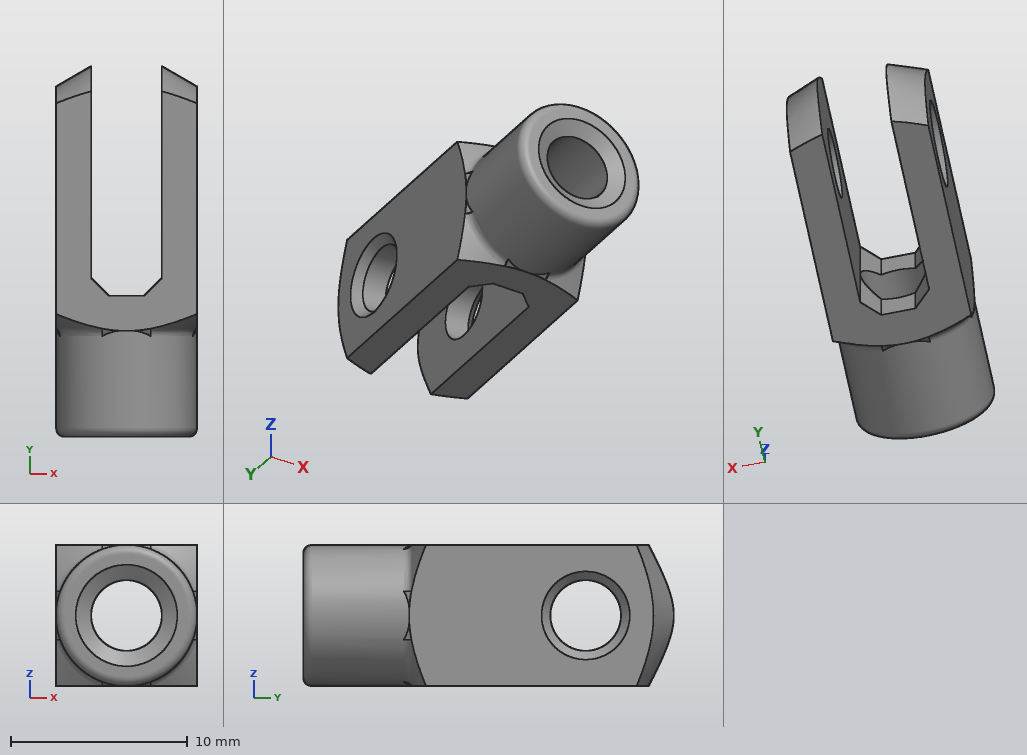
import cadquery as cq
import math

length = 21.0
width = 8.0
neck_diameter = width
neck_length = 6.0
neck_edge_radius = 0.5
shoulder_fillet = 0.5
fillet_end_offset = 1.36
fillet_overlap = 0.2
cone_angle = math.radians(30)

slot_width = 4.0
slot_floor = 8.0
slot_corner_chamfer = 1.0

bore_diameter = 4.0
bore_mouth_diameter = 5.75
bore_mouth_angle = math.radians(120)

pin_diameter = 4.0
pin_mouth_diameter = 5.0
pin_position = 16.0

half_width = width / 2
half_slot = slot_width / 2
neck_radius = neck_diameter / 2
slope = math.tan(cone_angle)
turning_radius = width


def revolve_about_y(profile):
    return profile.close().revolve(360, (0, 0, 0), (0, 1, 0))


def make_body():
    """Square bar trimmed by cones at both ends, with a round neck."""
    edge_offset = neck_edge_radius * math.sqrt(0.5)
    edge_middle = (
        neck_radius - neck_edge_radius + edge_offset,
        neck_edge_radius - edge_offset,
    )
    turned = revolve_about_y(
        cq.Workplane("XY")
        .lineTo(neck_radius - neck_edge_radius, 0)
        .threePointArc(edge_middle, (neck_radius, neck_edge_radius))
        .lineTo(neck_radius, neck_length)
        .lineTo(turning_radius, neck_length + (turning_radius - neck_radius) * slope)
        .lineTo(turning_radius, length - (turning_radius - half_slot) * slope)
        .lineTo(half_slot, length)
        .lineTo(0, length)
    )
    bar = cq.Workplane("XY").box(width, length, width, centered=(True, False, True))
    return turned.intersect(bar)


def make_corner_fillet():
    """Fillet between neck and shoulder cone, cut to the corner where X and Z are positive."""
    turn_angle = math.pi / 2 - cone_angle
    tangent = shoulder_fillet * math.tan(turn_angle / 2)
    fillet_start = neck_length - tangent
    fillet_end = (
        neck_radius + tangent * math.cos(cone_angle),
        neck_length + tangent * math.sin(cone_angle),
    )
    fillet_middle = (
        neck_radius + shoulder_fillet * (1 - math.cos(turn_angle / 2)),
        fillet_start + shoulder_fillet * math.sin(turn_angle / 2),
    )
    inner_radius = neck_radius - fillet_overlap
    ring = revolve_about_y(
        cq.Workplane("XY")
        .moveTo(inner_radius, fillet_start)
        .lineTo(neck_radius, fillet_start)
        .threePointArc(fillet_middle, fillet_end)
        .lineTo(fillet_end[0], fillet_end[1] + fillet_overlap)
        .lineTo(inner_radius, fillet_end[1] + fillet_overlap)
    )
    corner_size = half_width - fillet_end_offset
    corner = (
        cq.Workplane("XY")
        .box(corner_size, length, corner_size, centered=False)
        .translate((fillet_end_offset, 0, fillet_end_offset))
    )
    fillet = ring.intersect(corner)

    neck_height = math.sqrt(neck_radius**2 - fillet_end_offset**2)
    cone_radius = math.hypot(half_width, fillet_end_offset)
    point = cq.Vector(0, neck_length, half_width)
    flat_corner = cq.Vector(
        fillet_end_offset, neck_length + (cone_radius - neck_radius) * slope, half_width
    )
    neck_corner = cq.Vector(fillet_end_offset, fillet_start, neck_height)
    inner_corner = cq.Vector(fillet_end_offset, flat_corner.y, neck_height - fillet_overlap)
    taper = make_tetrahedron(point, flat_corner, neck_corner, inner_corner)
    other_taper = taper.rotate((0, 0, 0), (0, 1, 0), 90).mirror("XY")
    return fillet.union(taper).union(other_taper)


def make_tetrahedron(a, b, c, d):
    triangles = [(a, b, c), (a, b, d), (a, c, d), (b, c, d)]
    faces = [cq.Face.makeFromWires(cq.Wire.makePolygon(t, close=True)) for t in triangles]
    solid = cq.Solid.makeSolid(cq.Shell.makeShell(faces))
    return cq.Workplane("XY").add(solid.fix())


def make_slot():
    """Fork slot with chamfered floor corners, open at the far end."""
    half_floor = half_slot - slot_corner_chamfer
    wall_start = slot_floor + slot_corner_chamfer
    return (
        cq.Workplane("XY")
        .polyline([
            (-half_floor, slot_floor),
            (half_floor, slot_floor),
            (half_slot, wall_start),
            (half_slot, length),
            (-half_slot, length),
            (-half_slot, wall_start),
        ])
        .close()
        .extrude(half_width, both=True)
    )


def make_bore():
    """Axial bore from the neck face into the slot, with a wide conical mouth."""
    bore_radius = bore_diameter / 2
    mouth_radius = bore_mouth_diameter / 2
    mouth_depth = (mouth_radius - bore_radius) / math.tan(bore_mouth_angle / 2)
    bore_end = slot_floor + slot_corner_chamfer
    return revolve_about_y(
        cq.Workplane("XY")
        .lineTo(mouth_radius, 0)
        .lineTo(bore_radius, mouth_depth)
        .lineTo(bore_radius, bore_end)
        .lineTo(0, bore_end)
    )


def make_pin_hole():
    """Cross hole through both fork arms, with 45 degree outer mouths."""
    pin_radius = pin_diameter / 2
    mouth_radius = pin_mouth_diameter / 2
    mouth_start = half_width - (mouth_radius - pin_radius)
    profile = (
        cq.Workplane("XY")
        .moveTo(-half_width, 0)
        .lineTo(-half_width, mouth_radius)
        .lineTo(-mouth_start, pin_radius)
        .lineTo(mouth_start, pin_radius)
        .lineTo(half_width, mouth_radius)
        .lineTo(half_width, 0)
        .close()
    )
    return profile.revolve(360, (0, 0, 0), (1, 0, 0)).translate((0, pin_position, 0))


body = make_body()
corner_fillet = make_corner_fillet()
for quarter in range(4):
    body = body.union(corner_fillet.rotate((0, 0, 0), (0, 1, 0), 90 * quarter))

result = body.cut(make_slot()).cut(make_bore()).cut(make_pin_hole())